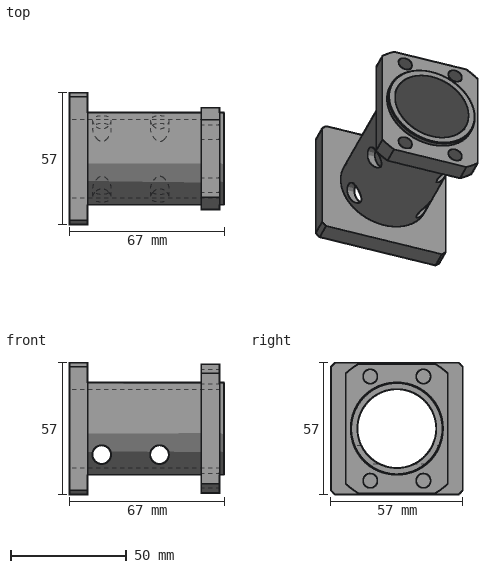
import cadquery as cq

length = 67.0
tube_diameter = 40.0
bore_diameter = 34.0
rim_chamfer = 0.35

flange_thickness = 8.0

square_side = 57.0
square_corner_diameter = 78.1

rim_length = 2.0
bolt_flange_width = 44.0
bolt_flange_height = 55.75
bolt_flange_corner_diameter = 65.0
bolt_hole_diameter = 6.2
bolt_spacing_y = 23.0
bolt_spacing_z = 45.0

cross_hole_diameter = 8.0
cross_hole_positions = (14.0, 39.0)
cross_hole_z = -11.25

bolt_flange_start = length - rim_length - flange_thickness


def make_tube():
    """Solid tube body with a small chamfer on the far rim."""
    body = cq.Workplane("YZ").circle(tube_diameter / 2).extrude(length)
    return body.faces(">X").chamfer(rim_chamfer)


def make_turned_plate(start, width, height, corner_diameter):
    """Rectangular plate whose corners are turned to a circle about the tube axis."""
    plane = cq.Workplane("YZ", origin=(start, 0, 0))
    plate = plane.rect(width, height).extrude(flange_thickness)
    disc = plane.circle(corner_diameter / 2).extrude(flange_thickness)
    return plate.intersect(disc)


def make_square_flange():
    """Plain square flange at the start of the tube."""
    return make_turned_plate(0, square_side, square_side, square_corner_diameter)


def make_bolt_flange():
    """Rectangular flange with four bolt holes."""
    plate = make_turned_plate(
        bolt_flange_start, bolt_flange_width, bolt_flange_height, bolt_flange_corner_diameter
    )
    bolt_holes = (
        cq.Workplane("YZ", origin=(bolt_flange_start, 0, 0))
        .rect(bolt_spacing_y, bolt_spacing_z, forConstruction=True)
        .vertices()
        .circle(bolt_hole_diameter / 2)
        .extrude(flange_thickness)
    )
    return plate.cut(bolt_holes)


def make_cross_holes():
    """Cylinders along Y that pass through both tube walls."""
    centers = [(x, cross_hole_z) for x in cross_hole_positions]
    return (
        cq.Workplane("XZ")
        .pushPoints(centers)
        .circle(cross_hole_diameter / 2)
        .extrude(tube_diameter / 2, both=True)
    )


bore = cq.Workplane("YZ").circle(bore_diameter / 2).extrude(length)

result = (
    make_tube()
    .union(make_square_flange())
    .union(make_bolt_flange())
    .cut(bore)
    .cut(make_cross_holes())
)